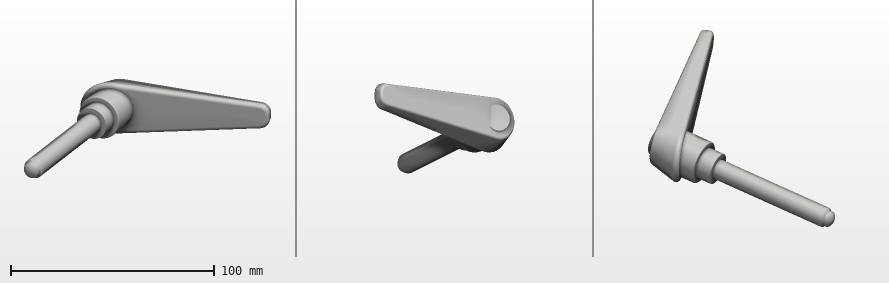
import cadquery as cq
import math


SLEEVE_RADIUS = 8.0
SLEEVE_LENGTH = 7.9
SHAFT_RADIUS = 5.1
SHAFT_END_Y = -71.1
SHAFT_CHAMFER = 1.1
NOSE_RADIUS = 4.0
DOME_START_Y = -72.6
DOME_TIP_Y = -74.4
CORE_RADIUS = 7.0
CORE_TOP_Y = 28.2
CORE_CHAMFER = 0.6

HUB_RADIUS = 11.0
HUB_HEIGHT = 19.0
HUB_EDGE_RADIUS = 0.6

BASE_Y = 4.7
BLANK_HEIGHT = 42.6
DRAFT_ANGLE = 13.0
BASE_END_RADIUS = 15.6
BASE_TIP_HALF_WIDTH = 14.2
BASE_TIP_X = 82.0
TIP_CORNER_RADIUS = 4.9
LOWER_FACE_Y = 11.4
LOWER_SLOPE = 20.0
UPPER_FACE_Y = 27.2
UPPER_SLOPE = 13.2
LOWER_EDGE_RADIUS = 2.0
UPPER_EDGE_RADIUS = 1.4
TRIM_X_MIN = -23.7
TRIM_X_MAX = 106.6
TRIM_HALF_WIDTH = 23.7


def y_cylinder(radius, y_start, y_end):
    """Cylinder on the stud axis between two Y positions."""
    axis = cq.Vector(0, 1, 0)
    return cq.Workplane(cq.Solid.makeCylinder(radius, y_end - y_start, cq.Vector(0, y_start, 0), axis))


def drafted_blank():
    """Teardrop with a round hub end and a square tip, narrowing towards +Y."""
    tip_distance = math.hypot(BASE_TIP_X, BASE_TIP_HALF_WIDTH)
    tip_angle = math.atan2(BASE_TIP_HALF_WIDTH, BASE_TIP_X)
    tangent_angle = tip_angle + math.acos(BASE_END_RADIUS / tip_distance)
    tangent_x = BASE_END_RADIUS * math.cos(tangent_angle)
    tangent_z = BASE_END_RADIUS * math.sin(tangent_angle)

    base_plane = cq.Plane(origin=(0, BASE_Y, 0), xDir=(1, 0, 0), normal=(0, 1, 0))
    return (
        cq.Workplane(base_plane)
        .moveTo(tangent_x, tangent_z)
        .threePointArc((-BASE_END_RADIUS, 0), (tangent_x, -tangent_z))
        .lineTo(BASE_TIP_X, -BASE_TIP_HALF_WIDTH)
        .lineTo(BASE_TIP_X, BASE_TIP_HALF_WIDTH)
        .close()
        .extrude(BLANK_HEIGHT, taper=DRAFT_ANGLE)
    )


def face_height(x, y_at_axis, slope):
    return y_at_axis + x * math.tan(math.radians(slope))


def face_selector(slope):
    """Selector for the arm face that lies at this slope."""
    angle = math.radians(slope)
    return cq.selectors.ParallelDirSelector(cq.Vector(-math.sin(angle), math.cos(angle), 0))


def arm():
    """Part of the blank between the two sloping faces, with rounded rims."""
    between_faces = (
        cq.Workplane("XY")
        .polyline([
            (TRIM_X_MIN, face_height(TRIM_X_MIN, LOWER_FACE_Y, LOWER_SLOPE)),
            (TRIM_X_MAX, face_height(TRIM_X_MAX, LOWER_FACE_Y, LOWER_SLOPE)),
            (TRIM_X_MAX, face_height(TRIM_X_MAX, UPPER_FACE_Y, UPPER_SLOPE)),
            (TRIM_X_MIN, face_height(TRIM_X_MIN, UPPER_FACE_Y, UPPER_SLOPE)),
        ])
        .close()
        .extrude(TRIM_HALF_WIDTH, both=True)
    )
    body = drafted_blank().intersect(between_faces)
    body = body.faces(">X").edges("not |Z").fillet(TIP_CORNER_RADIUS)
    body = body.faces(face_selector(LOWER_SLOPE)).edges().fillet(LOWER_EDGE_RADIUS)
    return body.faces(face_selector(UPPER_SLOPE)).edges().fillet(UPPER_EDGE_RADIUS)


def make_handle():
    hub = y_cylinder(HUB_RADIUS, 0, HUB_HEIGHT).faces("<Y").edges().fillet(HUB_EDGE_RADIUS)
    bore = y_cylinder(CORE_RADIUS, 0, CORE_TOP_Y)
    return arm().union(hub).cut(bore).solids()


def make_stud():
    """Turned stud: domed nose, shaft, sleeve, and a core that passes through the handle."""
    dome_height = DOME_START_Y - DOME_TIP_Y
    sphere_radius = (NOSE_RADIUS**2 + dome_height**2) / (2 * dome_height)
    dome_mid_radius = NOSE_RADIUS / 2
    dome_mid_y = DOME_TIP_Y + sphere_radius - math.sqrt(sphere_radius**2 - dome_mid_radius**2)

    profile = (
        cq.Workplane("XY")
        .moveTo(0, DOME_TIP_Y)
        .threePointArc((dome_mid_radius, dome_mid_y), (NOSE_RADIUS, DOME_START_Y))
        .lineTo(NOSE_RADIUS, SHAFT_END_Y)
        .lineTo(SHAFT_RADIUS, SHAFT_END_Y + SHAFT_CHAMFER)
        .lineTo(SHAFT_RADIUS, -SLEEVE_LENGTH)
        .lineTo(SLEEVE_RADIUS, -SLEEVE_LENGTH)
        .lineTo(SLEEVE_RADIUS, 0)
        .lineTo(CORE_RADIUS, 0)
        .lineTo(CORE_RADIUS, CORE_TOP_Y - CORE_CHAMFER)
        .lineTo(CORE_RADIUS - CORE_CHAMFER, CORE_TOP_Y)
        .lineTo(0, CORE_TOP_Y)
        .close()
    )
    return profile.revolve(360, (0, 0, 0), (0, 1, 0))


handle = make_handle()
stud = make_stud()
result = cq.Compound.makeCompound([handle.val(), stud.val()])